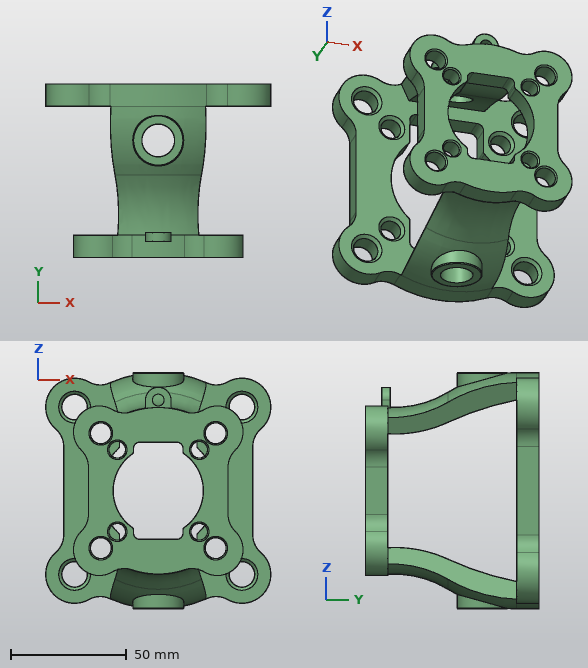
import cadquery as cq
import math

TOTAL_DEPTH = 74.9
PLATE_THICKNESS = 9.7
FRONT_PLATE_DEPTH = TOTAL_DEPTH - PLATE_THICKNESS

REAR_LOBE_CIRCLE = 102.0
REAR_LOBE_OFFSET = REAR_LOBE_CIRCLE / (2 * math.sqrt(2))
REAR_LOBE_RADIUS = 12.5
REAR_ARCH_RADIUS = 51.0
REAR_SIDE_X = 40.8

FRONT_LOBE_CIRCLE = 72.0
FRONT_LOBE_OFFSET = FRONT_LOBE_CIRCLE / (2 * math.sqrt(2))
FRONT_LOBE_RADIUS = 11.1
FRONT_ARCH_RADIUS = 35.9
FRONT_SIDE_X = 30.1

OUTLINE_FILLET = 10.0

REAR_BORE_RADIUS = 25.0
REAR_WINDOW_WIDTH = 33.2
REAR_WINDOW_HEIGHT = 65.6
REAR_WINDOW_FILLET = 3.0
FRONT_BORE_RADIUS = 19.4
FRONT_WINDOW_WIDTH = 21.2
FRONT_WINDOW_HEIGHT = 41.8
FRONT_WINDOW_FILLET = 2.6
OPENING_CUSP_FILLET = 1.5

REAR_LOBE_HOLE_DIAMETER = 10.9
MID_HOLE_DIAMETER = 8.9
SMALL_HOLE_DIAMETER = 7.1
MID_HOLE_CIRCLE = 70.0
MID_HOLE_OFFSET = MID_HOLE_CIRCLE / (2 * math.sqrt(2))
SMALL_HOLE_CIRCLE = 50.0
SMALL_HOLE_OFFSET = SMALL_HOLE_CIRCLE / (2 * math.sqrt(2))
REAR_HOLE_CHAMFER = 1.4
FRONT_HOLE_CHAMFER = 0.65

ARM_INFLECTION_DEPTH = 39.3
ARM_LOW_DEPTH = 62.3
OUTER_LOW_RADIUS = 36.0
OUTER_INFLECTION_RADIUS = 42.5
INNER_REAR_Z = 39.1
INNER_INFLECTION_Z = 29.45
INNER_LOW_Z = 24.4

ARM_WIDTH_BASE = -1.4
ARM_WIDTH_PER_DEPTH = 0.071
ARM_WIDTH_PER_HEIGHT = 0.453
ARM_BLANK_BOTTOM = 20.0

BOSS_DEPTH = 24.4
BOSS_DIAMETER = 22.0
BOSS_HOLE_DIAMETER = 14.0
BOSS_CHAMFER = 0.4
BOSS_TOP = REAR_ARCH_RADIUS
BOSS_ROOT = 40.0

LUG_DEPTH = 64.1
LUG_THICKNESS = 3.8
LUG_RADIUS = 5.5
LUG_AXIS_Z = 39.1
LUG_ROOT_Z = 34.0
LUG_HOLE_DIAMETER = 5.08


def at_depth(depth):
    """Workplane facing -Y at the given depth; local axes are X and Z."""
    return cq.Workplane("XZ", origin=(0, -depth, 0))


def point_toward(start, end, distance):
    """Point at a distance from start on the line to end."""
    length = math.dist(start, end)
    return tuple(s + (e - s) * distance / length for s, e in zip(start, end))


def midpoint(start, end):
    return point_toward(start, end, math.dist(start, end) / 2)


def quadrants(offset):
    """X and Z of four points, one in each quadrant, equally far from both axes."""
    return [(sx * offset, sz * offset) for sx in (-1, 1) for sz in (-1, 1)]


def plate_blank(depth, lobe_offset, lobe_radius, arch_radius, side_x):
    """Flange blank: corner lobes blended into top and bottom arches and straight sides."""
    lobe = (lobe_offset, lobe_offset)
    blend_reach = lobe_radius + OUTLINE_FILLET

    arch_reach = arch_radius + OUTLINE_FILLET
    diagonal = math.hypot(*lobe)
    cos_angle = (arch_reach**2 + diagonal**2 - blend_reach**2) / (2 * arch_reach * diagonal)
    blend_angle = math.radians(45) + math.acos(cos_angle)
    top_blend = (arch_reach * math.cos(blend_angle), arch_reach * math.sin(blend_angle))

    side_blend_x = side_x + OUTLINE_FILLET
    side_blend_drop = math.sqrt(blend_reach**2 - (side_blend_x - lobe_offset) ** 2)
    side_blend = (side_blend_x, lobe_offset - side_blend_drop)

    arch_end = point_toward((0, 0), top_blend, arch_radius)
    lobe_start = point_toward(lobe, top_blend, lobe_radius)
    lobe_end = point_toward(lobe, side_blend, lobe_radius)
    side_start = (side_x, side_blend[1])

    arch_middle = point_toward((0, 0), midpoint((0, arch_radius), arch_end), arch_radius)
    top_blend_middle = point_toward(top_blend, midpoint(arch_end, lobe_start), OUTLINE_FILLET)
    lobe_tip = point_toward((0, 0), lobe, diagonal + lobe_radius)
    side_blend_middle = point_toward(side_blend, midpoint(lobe_end, side_start), OUTLINE_FILLET)

    quarter = (
        at_depth(depth)
        .lineTo(0, arch_radius)
        .threePointArc(arch_middle, arch_end)
        .threePointArc(top_blend_middle, lobe_start)
        .threePointArc(lobe_tip, lobe_end)
        .threePointArc(side_blend_middle, side_start)
        .lineTo(side_x, 0)
        .close()
        .extrude(PLATE_THICKNESS)
    )
    half = quarter.union(quarter.mirror("YZ"))
    return half.union(half.mirror("XY")).clean()


def plate_opening(depth, bore_radius, width, height, fillet):
    """Cutter for a flange opening, with the cusps between circle and rectangle rounded off."""
    window = at_depth(depth).rect(width, height).extrude(PLATE_THICKNESS).edges("|Y").fillet(fillet)
    bore = at_depth(depth).circle(bore_radius).extrude(PLATE_THICKNESS)
    cusp_z = math.sqrt(bore_radius**2 - (width / 2) ** 2)

    def is_cusp(edge):
        centre = edge.Center()
        return math.dist((abs(centre.x), abs(centre.z)), (width / 2, cusp_z)) < OPENING_CUSP_FILLET

    return window.union(bore).edges("|Y").filter(is_cusp).fillet(OPENING_CUSP_FILLET)


def plate_holes(depth, offset, diameter, chamfer):
    """Four through holes, each widened by a chamfer at the front face of the flange."""
    radius = diameter / 2
    mouth = depth + PLATE_THICKNESS
    profile = [
        (0, -depth),
        (radius, -depth),
        (radius, chamfer - mouth),
        (radius + chamfer, -mouth),
        (0, -mouth),
    ]
    hole = cq.Workplane("XY").polyline(profile).close().revolve(360, (0, 0, 0), (0, 1, 0))
    holes = cq.Workplane("XY")
    for x, z in quadrants(offset):
        holes = holes.add(hole.translate((x, 0, z)))
    return holes.combine()


def rear_plate():
    depth = 0
    plate = plate_blank(depth, REAR_LOBE_OFFSET, REAR_LOBE_RADIUS, REAR_ARCH_RADIUS, REAR_SIDE_X)
    opening = plate_opening(
        depth, REAR_BORE_RADIUS, REAR_WINDOW_WIDTH, REAR_WINDOW_HEIGHT, REAR_WINDOW_FILLET
    )
    return (
        plate.cut(opening)
        .cut(plate_holes(depth, REAR_LOBE_OFFSET, REAR_LOBE_HOLE_DIAMETER, REAR_HOLE_CHAMFER))
        .cut(plate_holes(depth, MID_HOLE_OFFSET, MID_HOLE_DIAMETER, REAR_HOLE_CHAMFER))
    )


def front_plate():
    depth = FRONT_PLATE_DEPTH
    plate = plate_blank(depth, FRONT_LOBE_OFFSET, FRONT_LOBE_RADIUS, FRONT_ARCH_RADIUS, FRONT_SIDE_X)
    opening = plate_opening(
        depth, FRONT_BORE_RADIUS, FRONT_WINDOW_WIDTH, FRONT_WINDOW_HEIGHT, FRONT_WINDOW_FILLET
    )
    return (
        plate.cut(opening)
        .cut(plate_holes(depth, MID_HOLE_OFFSET, MID_HOLE_DIAMETER, FRONT_HOLE_CHAMFER))
        .cut(plate_holes(depth, SMALL_HOLE_OFFSET, SMALL_HOLE_DIAMETER, FRONT_HOLE_CHAMFER))
    )


def s_profile(low_z, inflection_z, rear_z):
    """Face in the YZ plane between an S-curve and the Y axis, from flange to flange.

    The front arc is level at its low point, where its height is low_z, and rises a little from
    there to the front flange. The rear arc continues it tangentially at the inflection.
    """
    run = ARM_LOW_DEPTH - ARM_INFLECTION_DEPTH
    rise = inflection_z - low_z
    radius = (run**2 + rise**2) / (2 * rise)
    front_z = low_z + radius - math.sqrt(radius**2 - (FRONT_PLATE_DEPTH - ARM_LOW_DEPTH) ** 2)
    return (
        cq.Workplane("YZ")
        .moveTo(-FRONT_PLATE_DEPTH, 0)
        .lineTo(-FRONT_PLATE_DEPTH, front_z)
        .threePointArc((-ARM_LOW_DEPTH, low_z), (-ARM_INFLECTION_DEPTH, inflection_z))
        .tangentArcPoint((-PLATE_THICKNESS, rear_z), relative=False)
        .lineTo(-PLATE_THICKNESS, 0)
        .close()
    )


def arm_section(depth):
    """Trapezoid spanned by the two sloping arm sides at the given depth."""
    bottom, top = ARM_BLANK_BOTTOM, REAR_ARCH_RADIUS
    base = ARM_WIDTH_BASE + ARM_WIDTH_PER_DEPTH * depth
    low = base + ARM_WIDTH_PER_HEIGHT * bottom
    high = base + ARM_WIDTH_PER_HEIGHT * top
    return [(-low, bottom), (low, bottom), (high, top), (-high, top)]


def upper_arm():
    """Arm with a surface of revolution outside, a flat-across S-curve inside and planar sides."""
    sides = (
        at_depth(PLATE_THICKNESS)
        .polyline(arm_section(PLATE_THICKNESS))
        .close()
        .workplane(offset=FRONT_PLATE_DEPTH - PLATE_THICKNESS)
        .polyline(arm_section(FRONT_PLATE_DEPTH))
        .close()
        .loft(ruled=True)
    )
    outside = s_profile(OUTER_LOW_RADIUS, OUTER_INFLECTION_RADIUS, REAR_ARCH_RADIUS).revolve(
        360, (0, 0, 0), (1, 0, 0)
    )
    inside = s_profile(INNER_LOW_Z, INNER_INFLECTION_Z, INNER_REAR_Z).extrude(REAR_ARCH_RADIUS, both=True)
    boss = (
        cq.Workplane("XY", origin=(0, -BOSS_DEPTH, BOSS_ROOT))
        .circle(BOSS_DIAMETER / 2)
        .extrude(BOSS_TOP - BOSS_ROOT)
        .faces(">Z")
        .chamfer(BOSS_CHAMFER)
    )
    boss_hole = (
        cq.Workplane("XY", origin=(0, -BOSS_DEPTH, 0))
        .circle(BOSS_HOLE_DIAMETER / 2)
        .extrude(BOSS_TOP)
    )
    return sides.intersect(outside).cut(inside).union(boss).cut(boss_hole)


def lug():
    """Round-topped lug with a hole along Y."""
    return (
        at_depth(LUG_DEPTH)
        .moveTo(-LUG_RADIUS, LUG_ROOT_Z)
        .lineTo(LUG_RADIUS, LUG_ROOT_Z)
        .lineTo(LUG_RADIUS, LUG_AXIS_Z)
        .threePointArc((0, LUG_AXIS_Z + LUG_RADIUS), (-LUG_RADIUS, LUG_AXIS_Z))
        .close()
        .extrude(LUG_THICKNESS)
        .cut(at_depth(LUG_DEPTH).center(0, LUG_AXIS_Z).circle(LUG_HOLE_DIAMETER / 2).extrude(LUG_THICKNESS))
    )


arm = upper_arm()
result = rear_plate().union(front_plate()).union(arm).union(arm.mirror("XY")).union(lug())